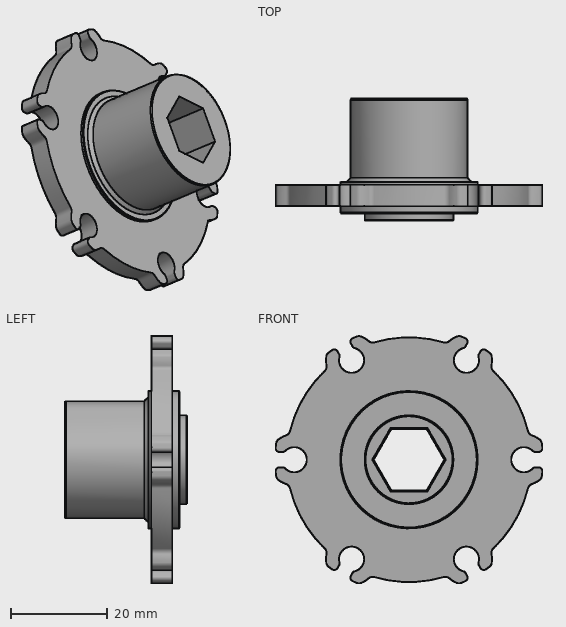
import cadquery as cq
import math

OVERALL_LENGTH = 25.4
NUB_LENGTH = 1.53
PLATE_FRONT = 3.09
PLATE_THICKNESS = 4.37
PLATE_BACK = PLATE_FRONT + PLATE_THICKNESS
COLLAR_BACK = 8.13
SHOULDER_LENGTH = 0.8
BARREL_FRONT = COLLAR_BACK + SHOULDER_LENGTH

NUB_RADIUS = 18.48 / 2
COLLAR_RADIUS = 28.55 / 2
BARREL_RADIUS = 24.33 / 2
SHOULDER_FLARE = 0.75
SHOULDER_RADIUS = BARREL_RADIUS + SHOULDER_FLARE
EDGE_CHAMFER = 0.25
COLLAR_BACK_CHAMFER = 0.15
BARREL_CHAMFER_RADIAL = 0.15
BARREL_CHAMFER_LENGTH = 0.35

HEX_SIDES = 6
HEX_ACROSS_FLATS = 12.7
HEX_MOUTH_CHAMFER = 0.25

PLATE_RADIUS = 25.4
SLOT_COUNT = 6
SLOT_PITCH = 360 / SLOT_COUNT
SLOT_CIRCLE_RADIUS = 23.81
SLOT_RADIUS = 2.58
MOUTH_WIDTH = 3.175
LOBE_RADIUS = 5.335
TIP_CIRCLE_RADIUS = 27.78
LOBE_FILLET = 1.27
LIP_FILLET = 0.794
TIP_FILLET = 0.794


def plate_disc(radius, center_x=0):
    """Disc with the thickness and Y position of the plate."""
    sketch = cq.Workplane("XZ", origin=(0, PLATE_FRONT, 0)).center(center_x, 0)
    return sketch.circle(radius).extrude(-PLATE_THICKNESS)


def turn(body, angle):
    """Rotate a body about the hub axis."""
    return body.rotate((0, 0, 0), (0, 1, 0), angle)


def make_slot_cutter():
    """Round slot opening outwards through a narrower mouth, with rounded lips."""
    mouth_length = 2 * (TIP_CIRCLE_RADIUS - SLOT_CIRCLE_RADIUS)
    mouth = (
        cq.Workplane("XZ", origin=(SLOT_CIRCLE_RADIUS, PLATE_FRONT, 0))
        .center(mouth_length / 2, 0)
        .rect(mouth_length, MOUTH_WIDTH)
        .extrude(-PLATE_THICKNESS)
    )
    keyhole = plate_disc(SLOT_RADIUS, SLOT_CIRCLE_RADIUS).union(mouth)
    lips = cq.selectors.BoxSelector(
        (SLOT_CIRCLE_RADIUS, PLATE_FRONT, -MOUTH_WIDTH),
        (SLOT_CIRCLE_RADIUS + SLOT_RADIUS, PLATE_BACK, MOUTH_WIDTH),
    )
    return keyhole.edges("|Y").edges(lips).fillet(LIP_FILLET)


def make_plate():
    """Disc with a lobe around each slot; each slot splits its lobe into two fingers."""
    lobe = plate_disc(LOBE_RADIUS, SLOT_CIRCLE_RADIUS).intersect(plate_disc(TIP_CIRCLE_RADIUS))
    plate = plate_disc(PLATE_RADIUS)
    for index in range(SLOT_COUNT):
        plate = plate.union(turn(lobe, index * SLOT_PITCH))
    plate = plate.edges("|Y").fillet(LOBE_FILLET)

    slot_cutter = make_slot_cutter()
    finger_tips = cq.selectors.BoxSelector(
        (TIP_CIRCLE_RADIUS - TIP_FILLET, PLATE_FRONT, -MOUTH_WIDTH),
        (TIP_CIRCLE_RADIUS + TIP_FILLET, PLATE_BACK, MOUTH_WIDTH),
    )
    for _ in range(SLOT_COUNT):
        plate = plate.cut(slot_cutter)
        plate = plate.edges("|Y").edges(finger_tips).fillet(TIP_FILLET)
        plate = turn(plate, SLOT_PITCH)
    return plate


def make_hub():
    """Nub, collar, conical shoulder and barrel, revolved about Y."""
    profile = [
        (0, 0),
        (NUB_RADIUS - EDGE_CHAMFER, 0),
        (NUB_RADIUS, EDGE_CHAMFER),
        (NUB_RADIUS, NUB_LENGTH),
        (COLLAR_RADIUS - EDGE_CHAMFER, NUB_LENGTH),
        (COLLAR_RADIUS, NUB_LENGTH + EDGE_CHAMFER),
        (COLLAR_RADIUS, COLLAR_BACK - COLLAR_BACK_CHAMFER),
        (COLLAR_RADIUS - COLLAR_BACK_CHAMFER, COLLAR_BACK),
        (SHOULDER_RADIUS, COLLAR_BACK),
        (BARREL_RADIUS, BARREL_FRONT),
        (BARREL_RADIUS, OVERALL_LENGTH - BARREL_CHAMFER_LENGTH),
        (BARREL_RADIUS - BARREL_CHAMFER_RADIAL, OVERALL_LENGTH),
        (0, OVERALL_LENGTH),
    ]
    return cq.Workplane("XY").polyline(profile).close().revolve(360, (0, 0, 0), (0, 1, 0))


def cut_hex_bore(body):
    """Through hexagonal bore with a chamfered front mouth."""
    across_corners = HEX_ACROSS_FLATS / math.cos(math.pi / HEX_SIDES)
    bore = cq.Workplane("XZ").polygon(HEX_SIDES, across_corners).extrude(-OVERALL_LENGTH)
    return body.cut(bore).faces("<Y").edges("not %CIRCLE").chamfer(HEX_MOUTH_CHAMFER)


result = cut_hex_bore(make_hub().union(make_plate()))